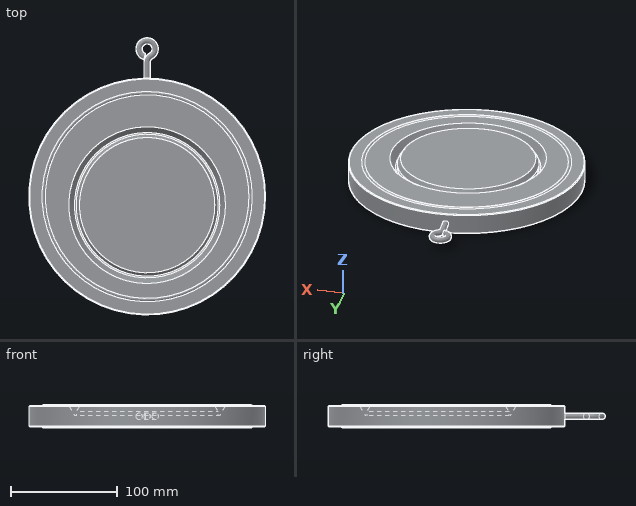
import cadquery as cq
import math

body_diameter = 222.0
body_height = 20.0
edge_chamfer = 0.8
face_z = body_height / 2

overall_height = 21.8
bead_height = (overall_height - body_height) / 2
bead_outer_diameter = 197.0
bead_width = 3.0

pocket_center_y = -8.0
pocket_top_diameter = 147.0
pocket_floor_diameter = 136.2
pocket_depth = 9.0
disc_top_diameter = 127.0
disc_base_diameter = 133.0
disc_drop = 0.5
disc_cone_height = 5.0

overall_length = 260.0
rod_diameter = 6.0
eye_radius = 7.5
elbow_radius = 6.5
eye_end_angle = 253.0
stem_embed = 5.2


def make_body():
    plate = cq.Workplane("XY").cylinder(body_height, body_diameter / 2)
    return plate.faces("|Z").edges().chamfer(edge_chamfer)


def make_bead():
    """Upper bead: an arc segment revolved about Z, with its foot on the top face."""
    outer = bead_outer_diameter / 2
    inner = outer - bead_width
    return (
        cq.Workplane("XZ")
        .moveTo(inner, face_z)
        .threePointArc((outer - bead_width / 2, face_z + bead_height), (outer, face_z))
        .close()
        .revolve(360, (0, 0), (0, 1))
    )


def make_pocket():
    """Cone frustum that narrows downwards from the top face."""
    cone = cq.Solid.makeCone(
        pocket_floor_diameter / 2,
        pocket_top_diameter / 2,
        pocket_depth,
        cq.Vector(0, pocket_center_y, face_z - pocket_depth),
    )
    return cq.Workplane(obj=cone)


def make_disc():
    """Disc standing on the pocket floor: a cylinder topped by a cone frustum."""
    cone_base_z = face_z - disc_drop - disc_cone_height
    floor_z = face_z - pocket_depth
    cone = cq.Solid.makeCone(
        disc_base_diameter / 2,
        disc_top_diameter / 2,
        disc_cone_height,
        cq.Vector(0, pocket_center_y, cone_base_z),
    )
    rim = (
        cq.Workplane("XY", origin=(0, pocket_center_y, floor_z))
        .circle(disc_base_diameter / 2)
        .extrude(cone_base_z - floor_z)
    )
    return rim.union(cq.Workplane(obj=cone))


def make_eye():
    """Rod swept up the stem, round the elbow and then around the ring."""
    center_y = overall_length - body_diameter / 2 - eye_radius - rod_diameter / 2
    center_distance = eye_radius + elbow_radius
    joint_angle = math.acos(elbow_radius / center_distance)
    stem_top_y = center_y - center_distance * math.sin(joint_angle)
    stem_start_y = body_diameter / 2 - stem_embed

    def elbow_point(angle):
        return (
            elbow_radius * (1 - math.cos(angle)),
            stem_top_y + elbow_radius * math.sin(angle),
        )

    def ring_point(angle):
        return (eye_radius * math.cos(angle), center_y + eye_radius * math.sin(angle))

    ring_start = -joint_angle
    ring_end = math.radians(eye_end_angle)
    path = (
        cq.Workplane("XY")
        .moveTo(0, stem_start_y)
        .lineTo(0, stem_top_y)
        .threePointArc(elbow_point(joint_angle / 2), elbow_point(joint_angle))
        .threePointArc(ring_point((ring_start + ring_end) / 2), ring_point(ring_end))
    )
    rod = cq.Workplane("XZ", origin=(0, stem_start_y, 0)).circle(rod_diameter / 2)
    return rod.sweep(path)


top_bead = make_bead()

result = (
    make_body()
    .union(top_bead)
    .union(top_bead.mirror("XY"))
    .cut(make_pocket().cut(make_disc()))
    .union(make_eye())
)